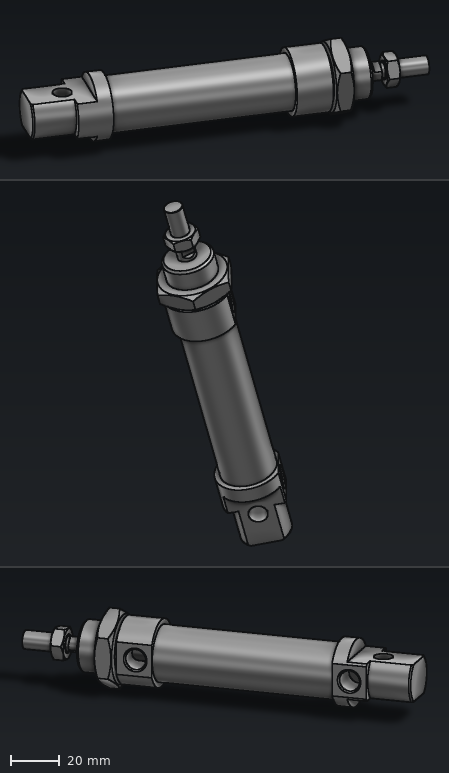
import cadquery as cq
import math

LENGTH = 170.0

REAR_CAP_END = 33.2
FRONT_CAP_START = 111.0
FRONT_CAP_END = 126.3
NECK_END = 144.3
CAP_DIAMETER = 28.7
TUBE_DIAMETER = 24.0
NECK_DIAMETER = 22.0
CLEVIS_CHAMFER = 0.7
NECK_CHAMFER = 1.0
CLEVIS_LENGTH = 18.4
CLEVIS_THICKNESS = 16.0
CLEVIS_FLAT_LENGTH = 26.9
PIN_HOLE_DIAMETER = 8.0
PIN_HOLE_Y = 15.3

PORT_FACE_X = -12.5
PORT_DIAMETER = 8.7
PORT_MOUTH_DIAMETER = 10.0
PORT_Y_POSITIONS = (25.8, 118.2)

ROD_DIAMETER = 8.0
UNDERCUT_DIAMETER = 6.5
UNDERCUT_START = 150.0
THREAD_START = 151.5
ROD_TIP_CHAMFER = 0.2
FLATS_WIDTH = 5.8
FLATS_LENGTH = 4.2
FLATS_ANGLE = 26.0

NECK_NUT_WIDTH = 30.0
NECK_NUT_START = 127.7
NECK_NUT_HEIGHT = 7.5
ROD_NUT_WIDTH = 13.0
ROD_NUT_START = 151.5
ROD_NUT_HEIGHT = 5.5
ROD_NUT_ANGLE = 36.0
CORNER_TO_FLAT_ANGLE = 30.0
NUT_CHAMFER_ANGLE = 30.0
NUT_FACE_RATIO = 0.98

ALONG_Y = cq.Vector(0, 1, 0)


def cylinder_y(diameter, start, end):
    """Solid cylinder on the Y axis from start to end."""
    origin = cq.Vector(0, start, 0)
    return cq.Workplane(cq.Solid.makeCylinder(diameter / 2, end - start, origin, ALONG_Y))


def slab(x_range, y_range, z_range):
    """Box between the given limits."""
    lows, highs = zip(x_range, y_range, z_range)
    sizes = [high - low for low, high in zip(lows, highs)]
    return cq.Workplane("XY").box(*sizes, centered=False).translate(lows)


def port_cutter(y):
    """Blind hole from the port face to the cylinder axis, with a 45 degree mouth."""
    mouth_depth = (PORT_MOUTH_DIAMETER - PORT_DIAMETER) / 2
    start = cq.Vector(PORT_FACE_X, y, 0)
    inward = cq.Vector(1, 0, 0)
    bore = cq.Solid.makeCylinder(PORT_DIAMETER / 2, -PORT_FACE_X, start, inward)
    mouth = cq.Solid.makeCone(PORT_MOUTH_DIAMETER / 2, PORT_DIAMETER / 2, mouth_depth, start, inward)
    return cq.Workplane(bore.fuse(mouth))


def make_housing():
    """Tube, end caps, threaded neck and clevis, with a bore for the rod."""
    clevis = cylinder_y(NECK_DIAMETER, 0, CLEVIS_LENGTH).faces("<Y").chamfer(CLEVIS_CHAMFER)
    neck = cylinder_y(NECK_DIAMETER, FRONT_CAP_END, NECK_END).faces(">Y").chamfer(NECK_CHAMFER)
    rear_cap = cylinder_y(CAP_DIAMETER, CLEVIS_LENGTH, REAR_CAP_END)
    tube = cylinder_y(TUBE_DIAMETER, REAR_CAP_END, FRONT_CAP_START)
    front_cap = cylinder_y(CAP_DIAMETER, FRONT_CAP_START, FRONT_CAP_END)

    for start, end in ((CLEVIS_LENGTH, REAR_CAP_END), (FRONT_CAP_START, FRONT_CAP_END)):
        flat = slab((-CAP_DIAMETER, PORT_FACE_X), (start, end), (-CAP_DIAMETER, CAP_DIAMETER))
        rear_cap = rear_cap.cut(flat)
        front_cap = front_cap.cut(flat)
    body = clevis.union(rear_cap).union(tube).union(front_cap).union(neck)

    upper_flat = slab(
        (-CAP_DIAMETER, CAP_DIAMETER), (0, CLEVIS_FLAT_LENGTH), (CLEVIS_THICKNESS / 2, CAP_DIAMETER)
    )
    body = body.cut(upper_flat).cut(upper_flat.mirror("XY"))

    pin_hole = (
        cq.Workplane("XY")
        .center(0, PIN_HOLE_Y)
        .circle(PIN_HOLE_DIAMETER / 2)
        .extrude(CLEVIS_THICKNESS, both=True)
    )
    body = body.cut(pin_hole)
    for y in PORT_Y_POSITIONS:
        body = body.cut(port_cutter(y))
    return body.cut(cylinder_y(ROD_DIAMETER, FRONT_CAP_START, NECK_END))


def make_rod():
    """Piston rod with wrench flats that run out at 45 degrees, an undercut and a threaded end."""
    shank = cylinder_y(ROD_DIAMETER, FRONT_CAP_START, UNDERCUT_START)
    undercut = cylinder_y(UNDERCUT_DIAMETER, UNDERCUT_START, THREAD_START)
    thread = cylinder_y(ROD_DIAMETER, THREAD_START, LENGTH).faces(">Y").chamfer(ROD_TIP_CHAMFER)
    rod = shank.union(undercut).union(thread)
    flat_height = FLATS_WIDTH / 2
    flat_depth = ROD_DIAMETER / 2 - flat_height
    flat_end = UNDERCUT_START - FLATS_LENGTH
    flat = (
        cq.Workplane("YZ")
        .moveTo(UNDERCUT_START, flat_height)
        .lineTo(flat_end + flat_depth, flat_height)
        .lineTo(flat_end, ROD_DIAMETER / 2)
        .lineTo(UNDERCUT_START, ROD_DIAMETER / 2)
        .close()
        .extrude(ROD_DIAMETER, both=True)
    )
    for angle in (FLATS_ANGLE, FLATS_ANGLE + 180):
        rod = rod.cut(flat.rotate((0, 0, 0), (0, 1, 0), angle))
    return rod


def make_nut(width, height, bore, start, angle):
    """Hexagon nut with both ends chamfered; at angle 0 two flats face +X and -X."""
    corner_radius = width / 2 / math.cos(math.radians(CORNER_TO_FLAT_ANGLE))
    face_radius = width / 2 * NUT_FACE_RATIO
    bevel = (corner_radius - face_radius) * math.tan(math.radians(NUT_CHAMFER_ANGLE))
    hexagon = (
        cq.Workplane("XZ")
        .polygon(6, 2 * corner_radius)
        .extrude(-height)
        .rotate((0, 0, 0), (0, 1, 0), CORNER_TO_FLAT_ANGLE + angle)
    )
    envelope = (
        cq.Workplane("XY")
        .moveTo(0, 0)
        .lineTo(face_radius, 0)
        .lineTo(corner_radius, bevel)
        .lineTo(corner_radius, height - bevel)
        .lineTo(face_radius, height)
        .lineTo(0, height)
        .close()
        .revolve(360, (0, 0), (0, 1))
    )
    blank = hexagon.intersect(envelope)
    return blank.cut(cylinder_y(bore, 0, height)).translate((0, start, 0))


housing = make_housing()
rod = make_rod()
neck_nut = make_nut(NECK_NUT_WIDTH, NECK_NUT_HEIGHT, NECK_DIAMETER, NECK_NUT_START, angle=0)
rod_nut = make_nut(ROD_NUT_WIDTH, ROD_NUT_HEIGHT, ROD_DIAMETER, ROD_NUT_START, ROD_NUT_ANGLE)

result = cq.Compound.makeCompound([housing.val(), rod.val(), neck_nut.val(), rod_nut.val()])